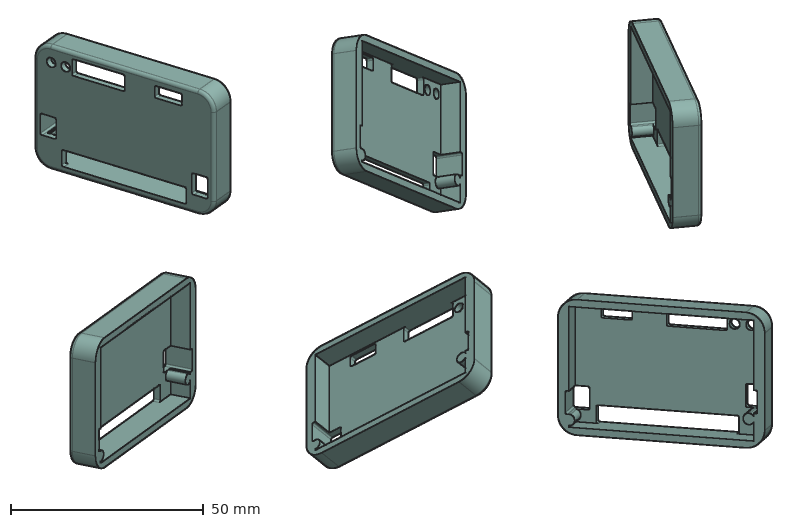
import cadquery as cq

LENGTH = 55.9
DEPTH = 7.8
HEIGHT = 36.4
SIDE_WALL = 3.0
TOP_WALL = 2.0
PLATE = 2.0
CORNER_RADIUS = 5.15
FACE_EDGE_RADIUS = 1.0

FACE_Y = -DEPTH / 2
CAVITY_FLOOR_Y = FACE_Y + PLATE
CAVITY_DEPTH = DEPTH - PLATE
CAVITY_LENGTH = LENGTH - 2 * SIDE_WALL
CAVITY_HEIGHT = HEIGHT - 2 * TOP_WALL

OPENING_MARGIN = 2.0
OPENING_RADIUS = 0.5
OPENING_WIDTH = 4.85
SIDE_OPENING_X = LENGTH / 2 - OPENING_MARGIN - OPENING_WIDTH / 2
SIDE_OPENING_HEIGHT = 6.25
POWER_OPENING_Z = -5.7
LIGHT_OPENING_Z = -9.6
LONG_SLOT_Z = HEIGHT / 2 - OPENING_MARGIN - OPENING_WIDTH / 2
BUTTON_SLOT_LENGTH = 16.3
BUTTON_SLOT_X = -7.95
PIN_SLOT_LENGTH = 38.55
USB_SLOT_LENGTH = 8.4
USB_SLOT_HEIGHT = 3.5
USB_SLOT_X = 13.75
USB_SLOT_Z = 14.0

OPENINGS = (
    (-SIDE_OPENING_X, POWER_OPENING_Z, OPENING_WIDTH, SIDE_OPENING_HEIGHT),
    (SIDE_OPENING_X, LIGHT_OPENING_Z, OPENING_WIDTH, SIDE_OPENING_HEIGHT),
    (BUTTON_SLOT_X, LONG_SLOT_Z, BUTTON_SLOT_LENGTH, OPENING_WIDTH),
    (USB_SLOT_X, USB_SLOT_Z, USB_SLOT_LENGTH, USB_SLOT_HEIGHT),
    (0, -LONG_SLOT_Z, PIN_SLOT_LENGTH, OPENING_WIDTH),
)

ROUND_HOLE_DIAMETER = 2.75
ROUND_HOLE_Z = 13.25
ROUND_HOLE_XS = (-22.6, -18.1)

POST_DIAMETER = 3.1
POST_DROP = 1.5
POWER_POST_X = -23.65
LIGHT_POST_X = 24.95
POSTS = (
    (POWER_POST_X, POWER_OPENING_Z - SIDE_OPENING_HEIGHT / 2 - POST_DROP),
    (LIGHT_POST_X, LIGHT_OPENING_Z - SIDE_OPENING_HEIGHT / 2 - POST_DROP),
)


def block(length, height, y_start, depth, x=0, z=0):
    """Box centred on (x, z) that runs from y_start toward +Y."""
    return cq.Workplane("XY").box(length, depth, height).translate((x, y_start + depth / 2, z))


def cylinder(diameter, y_start, depth, x, z):
    """Cylinder centred on (x, z) that runs from y_start toward +Y."""
    rod = cq.Workplane("XZ").circle(diameter / 2).extrude(-depth)
    return rod.translate((x, y_start, z))


def shell():
    body = block(LENGTH, HEIGHT, FACE_Y, DEPTH).edges("|Y").fillet(CORNER_RADIUS)
    body = body.faces("<Y").edges().fillet(FACE_EDGE_RADIUS)
    return body.cut(block(CAVITY_LENGTH, CAVITY_HEIGHT, CAVITY_FLOOR_Y, CAVITY_DEPTH))


def opening(x, z, length, height):
    """Round-cornered cutter through the full depth, so it also grooves any wall behind the plate."""
    return block(length, height, FACE_Y, DEPTH, x, z).edges("|Y").fillet(OPENING_RADIUS)


result = shell()
for post_x, post_z in POSTS:
    result = result.union(cylinder(POST_DIAMETER, CAVITY_FLOOR_Y, CAVITY_DEPTH, post_x, post_z))
for opening_x, opening_z, opening_length, opening_height in OPENINGS:
    result = result.cut(opening(opening_x, opening_z, opening_length, opening_height))
for hole_x in ROUND_HOLE_XS:
    result = result.cut(cylinder(ROUND_HOLE_DIAMETER, FACE_Y, PLATE, hole_x, ROUND_HOLE_Z))